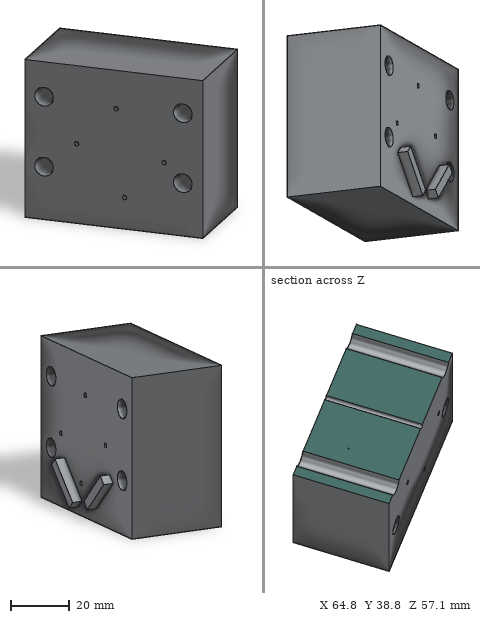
import cadquery as cq

width = 64.8
height = 57.1
total_depth = 38.75
block_depth = 35.0
bar_rise = total_depth - block_depth

mount_diameter = 6.75
mount_spacing_x = 50.5
mount_spacing_z = 25.3
mount_center_x = 32.25
mount_center_z = 31.8

tilt = 45.0
pin_diameter = 1.55
pin_spacing_long = 24.7
pin_spacing_short = 20.35
pin_center_x = 34.8
pin_center_z = 27.35

bar_width = 3.5
left_bar_length = 16.3
left_bar_x = 20.35
left_bar_z = 12.2
right_bar_length = 17.75
right_bar_x = 42.9
right_bar_z = 10.35


def hole_pattern(x, z, spacing_x, spacing_z, diameter, angle=0.0):
    """Cylinders through the block on a 2 x 2 pattern centered at (x, z)."""
    return (
        cq.Workplane("XZ", origin=(x, 0, z))
        .transformed(rotate=(0, 0, angle))
        .rarray(spacing_x, spacing_z, 2, 2)
        .circle(diameter / 2)
        .extrude(-block_depth)
    )


def back_bar(x, z, length, angle):
    """Rectangular bar standing on the back face, turned about its center."""
    return (
        cq.Workplane("XZ", origin=(x, block_depth, z))
        .transformed(rotate=(0, 0, angle))
        .rect(length, bar_width)
        .extrude(-bar_rise)
    )


block = cq.Workplane("XY").box(width, block_depth, height, centered=False)

mount_holes = hole_pattern(
    mount_center_x, mount_center_z, mount_spacing_x, mount_spacing_z, mount_diameter
)
pin_holes = hole_pattern(
    pin_center_x, pin_center_z, pin_spacing_long, pin_spacing_short, pin_diameter, -tilt
)

left_bar = back_bar(left_bar_x, left_bar_z, left_bar_length, -tilt)
right_bar = back_bar(right_bar_x, right_bar_z, right_bar_length, tilt)

result = block.cut(mount_holes).cut(pin_holes).union(left_bar).union(right_bar)